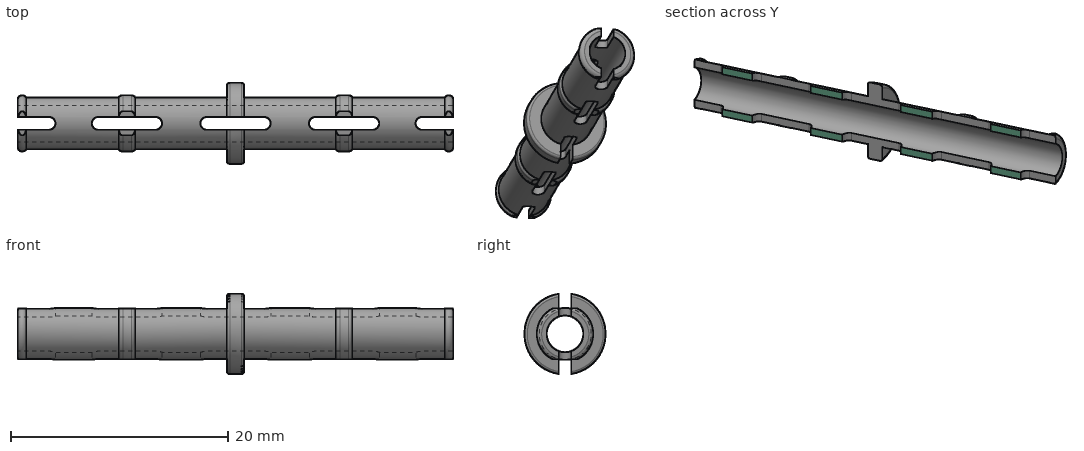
import cadquery as cq
import math

LENGTH = 40.15
TUBE_DIAMETER = 4.8
BORE_DIAMETER = 3.35

FLANGE_DIAMETER = 7.5
FLANGE_WIDTH = 1.6
FLANGE_FILLET = 0.25

BEAD_HEIGHT = 0.2
BEAD_ROUND = 0.43
BEAD_FLAT_HEIGHT = 2.35
MIDDLE_CREST_WIDTH = 0.8

SLOT_WIDTH = 1.15
SLOT_LENGTH = 6.45
SLOT_PITCH = 10.0
END_SLOT_DEPTH = 3.48

half_length = LENGTH / 2
tube_radius = TUBE_DIAMETER / 2
bead_radius = tube_radius + BEAD_HEIGHT
shoulder_radius = bead_radius - BEAD_ROUND
end_bead_x = half_length - BEAD_ROUND


def rod(start, end, diameter):
    """Solid cylinder along X."""
    return cq.Workplane("YZ", origin=(start, 0, 0)).circle(diameter / 2).extrude(end - start)


def flattened(ring):
    """Trim a bead to its flats on the +Z and -Z sides."""
    return ring.intersect(cq.Workplane("XY").box(LENGTH, 2 * bead_radius, 2 * BEAD_FLAT_HEIGHT))


def revolved(profile):
    """Solid of revolution about the X axis."""
    return profile.close().revolve(360, (0, 0, 0), (1, 0, 0))


def middle_bead(x):
    """Bead with a cylindrical crest and a quarter-round shoulder on each side."""
    crest = MIDDLE_CREST_WIDTH / 2
    side = crest + BEAD_ROUND
    arc_mid = BEAD_ROUND * math.sqrt(0.5)
    profile = (
        cq.Workplane("XY")
        .moveTo(x - side, 0)
        .lineTo(x - side, shoulder_radius)
        .threePointArc((x - crest - arc_mid, shoulder_radius + arc_mid), (x - crest, bead_radius))
        .lineTo(x + crest, bead_radius)
        .threePointArc((x + crest + arc_mid, shoulder_radius + arc_mid), (x + side, shoulder_radius))
        .lineTo(x + side, 0)
    )
    return flattened(revolved(profile))


def end_bead(x):
    """Fully rounded bead that forms the rim of the tube."""
    profile = (
        cq.Workplane("XY")
        .moveTo(x - BEAD_ROUND, 0)
        .lineTo(x - BEAD_ROUND, shoulder_radius)
        .threePointArc((x, bead_radius), (x + BEAD_ROUND, shoulder_radius))
        .lineTo(x + BEAD_ROUND, 0)
    )
    return flattened(revolved(profile))


def slot(x, length):
    """Round-ended cutter through the part along Z, centred at X = x."""
    outline = cq.Workplane("XY").center(x, 0).slot2D(length, SLOT_WIDTH)
    return outline.extrude(FLANGE_DIAMETER, both=True)


body = rod(-end_bead_x, end_bead_x, TUBE_DIAMETER)
flange = rod(-FLANGE_WIDTH / 2, FLANGE_WIDTH / 2, FLANGE_DIAMETER)
body = body.union(flange.edges().fillet(FLANGE_FILLET))
for side in (-1, 1):
    body = body.union(middle_bead(side * SLOT_PITCH))
    body = body.union(end_bead(side * end_bead_x))

body = body.cut(rod(-half_length, half_length, BORE_DIAMETER))

for x in (-SLOT_PITCH, 0, SLOT_PITCH):
    body = body.cut(slot(x, SLOT_LENGTH))
for side in (-1, 1):
    body = body.cut(slot(side * half_length, 2 * END_SLOT_DEPTH))

result = body